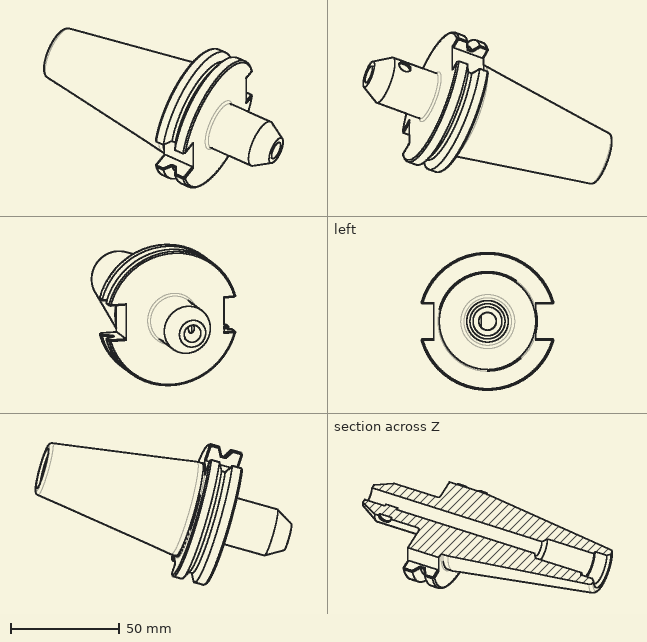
import cadquery as cq
import math


taper_rate = 7 / 24
gauge_diameter = 44.5
gauge_x = 68.3
end_fillet = 1.5
neck_fillet = 0.7

flange_diameter = 63.5
flange_start_x = 71.5
flange_end_x = 87.3
flange_chamfer = 0.7
groove_floor_diameter = 55.9
groove_floor_width = 1.8
groove_angle = math.radians(60)
groove_center_x = 79.2

slot_half_width = 8.0
slot_floor_front = 22.4
slot_floor_back = 24.8
slot_edge_chamfer = 0.6
match_tolerance = 0.01

nose_diameter = 22.2
nose_fillet = 1.1
nose_cone_start_x = 110.2
tip_diameter = 12.7
length = 118.3

mouth_diameter = 19.2
mouth_depth = 1.4
counterbore_diameter = 16.2
counterbore_depth = 7.3
drawbar_hole_diameter = 13.4
drawbar_hole_depth = 30.8
drill_point_half_angle = math.radians(59)
through_diameter = 8.0

screw_diameter = 6.0
screw_x = 105.1
screw_tip_y = 2.8
screw_head_y = 9.9


def revolve_about_x(outline):
    """Turn a closed half outline once around the X axis."""
    return outline.revolve(360, (0, 0, 0), (1, 0, 0))


def make_body():
    """Revolve the outer outline: taper, neck, grooved flange and nose."""
    end_radius = (gauge_diameter - taper_rate * gauge_x) / 2
    gauge_radius = gauge_diameter / 2
    flange_radius = flange_diameter / 2
    rim_radius = flange_radius - flange_chamfer
    floor_radius = groove_floor_diameter / 2
    nose_radius = nose_diameter / 2
    floor_half = groove_floor_width / 2
    mouth_half = floor_half + (flange_radius - floor_radius) * math.tan(groove_angle / 2)

    outline = (
        cq.Workplane("XY")
        .moveTo(0, 0)
        .lineTo(0, end_radius)
        .lineTo(gauge_x, gauge_radius)
        .lineTo(flange_start_x - neck_fillet, gauge_radius)
        .radiusArc((flange_start_x, gauge_radius + neck_fillet), -neck_fillet)
        .lineTo(flange_start_x, rim_radius)
        .lineTo(flange_start_x + flange_chamfer, flange_radius)
        .lineTo(groove_center_x - mouth_half, flange_radius)
        .lineTo(groove_center_x - floor_half, floor_radius)
        .lineTo(groove_center_x + floor_half, floor_radius)
        .lineTo(groove_center_x + mouth_half, flange_radius)
        .lineTo(flange_end_x - flange_chamfer, flange_radius)
        .lineTo(flange_end_x, rim_radius)
        .lineTo(flange_end_x, nose_radius + nose_fillet)
        .radiusArc((flange_end_x + nose_fillet, nose_radius), -nose_fillet)
        .lineTo(nose_cone_start_x, nose_radius)
        .lineTo(length, tip_diameter / 2)
        .lineTo(length, 0)
        .close()
    )
    body = revolve_about_x(outline)
    return body.faces("<X").edges().fillet(end_fillet)


def make_slot(floor_distance, side):
    """Box that clears one drive slot; side is -1 for -Y and +1 for +Y."""
    depth = flange_diameter / 2 - floor_distance
    return (
        cq.Workplane("XY")
        .box(flange_end_x - flange_start_x, depth, 2 * slot_half_width)
        .translate(((flange_start_x + flange_end_x) / 2, side * (floor_distance + depth / 2), 0))
    )


def chamfer_slot_edges(body):
    """Break the edges where the slot walls meet the flange surfaces."""
    walls = [
        face
        for face in body.faces("|Z").vals()
        if math.isclose(abs(face.Center().z), slot_half_width, abs_tol=match_tolerance)
    ]
    floors = [slot_floor_back, -slot_floor_front]
    edges = []
    for wall in walls:
        for edge in wall.Edges():
            edge_y = edge.Center().y
            on_floor = any(math.isclose(edge_y, floor_y, abs_tol=match_tolerance) for floor_y in floors)
            if not on_floor:
                edges.append(edge)
    return body.newObject(edges).chamfer(slot_edge_chamfer)


def make_bores():
    """Revolve the stepped hole: mouth, counterbore, drawbar hole and through bore."""
    hole_radius = drawbar_hole_diameter / 2
    through_radius = through_diameter / 2
    point_length = (hole_radius - through_radius) / math.tan(drill_point_half_angle)
    outline = (
        cq.Workplane("XY")
        .moveTo(0, 0)
        .lineTo(0, mouth_diameter / 2)
        .lineTo(mouth_depth, counterbore_diameter / 2)
        .lineTo(counterbore_depth, counterbore_diameter / 2)
        .lineTo(counterbore_depth, hole_radius)
        .lineTo(drawbar_hole_depth, hole_radius)
        .lineTo(drawbar_hole_depth + point_length, through_radius)
        .lineTo(length, through_radius)
        .lineTo(length, 0)
        .close()
    )
    return revolve_about_x(outline)


def make_screw_cylinder(start_y, end_y):
    """Cylinder on the set screw axis between two Y positions."""
    start_plane = cq.Workplane("XZ", origin=(screw_x, start_y, 0))
    return start_plane.circle(screw_diameter / 2).extrude(start_y - end_y)


body = make_body()
body = body.cut(make_slot(slot_floor_front, -1))
body = body.cut(make_slot(slot_floor_back, 1))
body = chamfer_slot_edges(body)
body = body.cut(make_bores())

body = body.union(make_screw_cylinder(screw_tip_y, screw_head_y))
result = body.cut(make_screw_cylinder(screw_head_y, nose_diameter / 2))